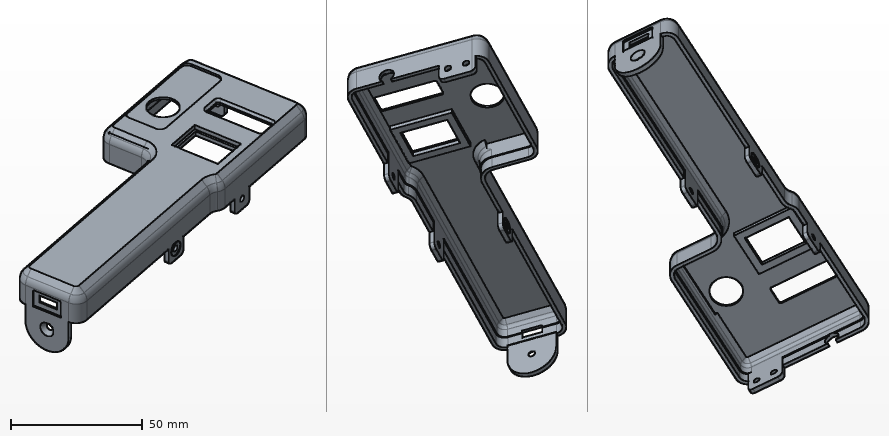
import cadquery as cq
import math


total_length = 152.5
handle_width = 30.0
head_length = 60.0
head_left = -40.0
head_right = 17.5
corner_radius = 5.0
handle_side = handle_width / 2
shoulder_y = total_length - head_length
handle_top_y = shoulder_y - corner_radius

cover_height = 14.8
wall = 2.0
edge_chamfer = 3.7
edge_round = 4.5
lip_wall = 1.5
lip_height = 5.2
pick_margin = 0.2

tray_size = (18.1, 41.8)
tray_center = (-27.8, 125.5)
tray_corner = 3.0
tray_depth = 0.99
button_center = (-27.9, 118.6)
button_diameter = 12.8
bay_size = (18.1, 30.5)
bay_x = -27.3
slot_window_size = (25.6, 8.0)
slot_window_y = 129.5
slot_window_corner = 0.9
slot_window_chamfer = 1.0
screen_size = (19.2, 13.4)
screen_y = 107.2
screen_ledge = 1.0
screen_ledge_depth = 2.0
screen_frame_depth = 4.0

tab_drop = 7.8
tab_corner = 2.0
tab_hole_drop = 2.7
side_tab_width = 10.0
head_tab_y = 105.8
handle_tab_y = 65.1
end_tab_width = 14.8
end_tab_x = -28.8
end_tab_hole_pitch = 7.5
screw_hole = 2.6
screw_head = 6.1
spot_face_depth = 0.3

tongue_drop = 17.7
tongue_width = handle_width - 2 * corner_radius
tongue_radius = tongue_width / 2
tongue_hole_drop = tongue_drop - tongue_radius
tongue_top_z = 0.5
port_recess_size = (13.0, 7.8)
port_recess_z = 4.4
port_recess_corner = 0.9
port_recess_depth = 0.8
port_slot_size = (8.2, 3.2)
port_slot_z = 4.5

notch_diameter = 6.0
notch_z = 2.5


def cover_outline():
    """Outline of the head and handle with all corners rounded."""
    r = corner_radius
    diagonal = r * math.sqrt(0.5)
    offset = head_right - handle_side
    half_bend = math.sqrt(r * offset - (offset / 2) ** 2)
    head_start_y = handle_top_y + 2 * half_bend

    def arc(sketch, end, center, direction):
        middle = (center[0] + direction[0] * diagonal, center[1] + direction[1] * diagonal)
        return sketch.threePointArc(middle, end)

    line = cq.Workplane("XY").moveTo(-handle_side + r, 0).lineTo(handle_side - r, 0)
    line = arc(line, (handle_side, r), (handle_side - r, r), (1, -1))
    line = line.lineTo(handle_side, handle_top_y)
    line = line.tangentArcPoint((handle_side + offset / 2, handle_top_y + half_bend), relative=False)
    line = line.tangentArcPoint((head_right, head_start_y), relative=False)
    line = line.lineTo(head_right, total_length - r)
    line = arc(line, (head_right - r, total_length), (head_right - r, total_length - r), (1, 1))
    line = line.lineTo(head_left + r, total_length)
    line = arc(line, (head_left, total_length - r), (head_left + r, total_length - r), (-1, 1))
    line = line.lineTo(head_left, shoulder_y + r)
    line = arc(line, (head_left + r, shoulder_y), (head_left + r, shoulder_y + r), (-1, -1))
    line = line.lineTo(-handle_side - r, shoulder_y)
    line = arc(line, (-handle_side, handle_top_y), (-handle_side - r, handle_top_y), (1, 1))
    line = line.lineTo(-handle_side, r)
    return arc(line, (-handle_side + r, 0), (-handle_side + r, r), (-1, -1)).close()


def softened_block(outline, height, chamfer, fillet):
    """Extruded outline whose top edge is chamfered, with the chamfer blended into the sides."""
    block = outline.extrude(height).faces(">Z").chamfer(chamfer)
    chamfer_bottom = cq.selectors.BoxSelector(
        (head_left, 0, height - chamfer - pick_margin),
        (head_right, total_length, height - chamfer + pick_margin),
        boundingbox=False,
    )
    return block.edges(chamfer_bottom).fillet(fillet)


def box(size, center, bottom, top):
    """Upright block of the given XY size and centre between two heights."""
    return cq.Workplane("XY", origin=(*center, bottom)).rect(*size).extrude(top - bottom)


def cover_shell():
    outer = softened_block(cover_outline(), cover_height, edge_chamfer, edge_round)
    inner_chamfer = edge_chamfer - wall * (2 - math.sqrt(2))
    inner_outline = cover_outline().offset2D(-wall)
    cavity = softened_block(inner_outline, cover_height - wall, inner_chamfer, edge_round - wall)
    lip_recess = cover_outline().offset2D(-lip_wall).extrude(lip_height)
    return outer.cut(cavity).cut(lip_recess)


def cut_tray_and_button(body):
    tray = box(tray_size, tray_center, cover_height - tray_depth, cover_height).edges("|Z").fillet(tray_corner)
    button = cq.Workplane("XY", origin=(*button_center, 0)).circle(button_diameter / 2).extrude(cover_height)
    return body.cut(tray).cut(button)


def cut_bay(body):
    """Square up the cavity below the tray, where it meets the shoulder wall."""
    bay_y = shoulder_y + wall + bay_size[1] / 2
    return body.cut(box(bay_size, (bay_x, bay_y), 0, cover_height - wall))


def cut_slot_window(body):
    opening = box(slot_window_size, (0, slot_window_y), 0, cover_height)
    opening = opening.edges("|Z").fillet(slot_window_corner)
    flare_floor = opening.translate((0, 0, -slot_window_chamfer)).faces(">Z").wires()
    flare = flare_floor.toPending().extrude(slot_window_chamfer, taper=-45)
    return body.cut(opening).cut(flare)


def add_screen_window(body):
    center = (0, screen_y)
    ledge_size = [side + 2 * screen_ledge for side in screen_size]
    frame_size = [side + 2 * wall for side in ledge_size]
    body = body.union(box(frame_size, center, cover_height - screen_frame_depth, cover_height - wall / 2))
    body = body.cut(box(ledge_size, center, cover_height - screen_ledge_depth, cover_height))
    return body.cut(box(screen_size, center, 0, cover_height))


def cylinder_along_y(diameter, length, x, z):
    """Cylinder that starts on the outer face at Y = 0 and runs towards +Y."""
    return cq.Workplane("XZ", origin=(x, 0, z)).circle(diameter / 2).extrude(-length)


def tab(width, hole_positions):
    """Tab hanging below the rim in the XZ plane, outer face on Y = 0 and thickness towards +Y."""
    plate = cq.Workplane("XY", origin=(0, 0, -tab_drop))
    plate = plate.box(width, wall, tab_drop + lip_height, centered=(True, False, False))
    plate = plate.edges("|Y and <Z").fillet(tab_corner)
    for x in hole_positions:
        plate = plate.cut(cylinder_along_y(screw_hole, wall, x, -tab_hole_drop))
    return plate


def add_tabs(body):
    end_holes = (-end_tab_hole_pitch / 2, end_tab_hole_pitch / 2)
    end_tab = tab(end_tab_width, end_holes)
    end_tab = end_tab.translate((end_tab_x, total_length - wall, 0))
    tab_zone = cover_outline().extrude(tab_drop + cover_height).translate((0, 0, -tab_drop))
    end_tab = end_tab.intersect(tab_zone)
    plain_tab = tab(side_tab_width, [0])
    spot_faced_tab = plain_tab.cut(cylinder_along_y(screw_head, spot_face_depth, 0, -tab_hole_drop))
    facing_right = ((0, 0, 0), (0, 0, 1), 90)
    facing_left = ((0, 0, 0), (0, 0, 1), -90)
    body = body.union(end_tab)
    body = body.union(plain_tab.rotate(*facing_right).translate((head_right, head_tab_y, 0)))
    body = body.union(spot_faced_tab.rotate(*facing_right).translate((handle_side, handle_tab_y, 0)))
    return body.union(spot_faced_tab.rotate(*facing_left).translate((-handle_side, handle_tab_y, 0)))


def add_tongue(body):
    tongue = (
        cq.Workplane("XZ")
        .moveTo(-tongue_radius, tongue_top_z)
        .lineTo(-tongue_radius, -tongue_hole_drop)
        .threePointArc((0, -tongue_drop), (tongue_radius, -tongue_hole_drop))
        .lineTo(tongue_radius, tongue_top_z)
        .close()
        .extrude(-wall)
    )
    countersink = cq.Solid.makeCone(
        screw_head / 2, screw_hole / 2, wall, pnt=(0, 0, -tongue_hole_drop), dir=(0, 1, 0)
    )
    return body.union(tongue.cut(cq.Workplane(countersink)))


def cut_port(body):
    recess = cq.Workplane("XZ", origin=(0, 0, port_recess_z)).rect(*port_recess_size)
    recess = recess.extrude(-port_recess_depth).edges("|Y and >Z").fillet(port_recess_corner)
    slot = cq.Workplane("XZ", origin=(0, 0, port_slot_z)).rect(*port_slot_size).extrude(-wall)
    return body.cut(recess).cut(slot)


def cut_cable_notch(body):
    notch = cq.Workplane("XZ", origin=(0, total_length, notch_z)).circle(notch_diameter / 2).extrude(wall)
    return body.cut(notch)


result = cover_shell()
result = cut_tray_and_button(result)
result = cut_bay(result)
result = cut_slot_window(result)
result = add_screen_window(result)
result = add_tabs(result)
result = add_tongue(result)
result = cut_port(result)
result = cut_cable_notch(result)